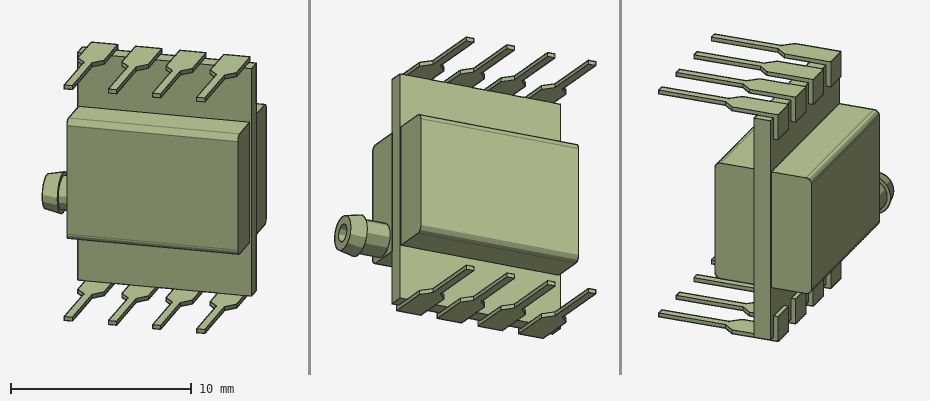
import cadquery as cq


overall_height = 13.8
pin_thickness = 0.23
plate_width = 10.0
plate_height = overall_height - 2 * pin_thickness
plate_back = -2.42
plate_thickness = 1.0

housing_depth = 5.8
housing_height = 7.04
housing_left_inset = 0.05
housing_right_inset = 0.11
housing_fillet = 0.35
housing_left = -plate_width / 2 + housing_left_inset
housing_right = plate_width / 2 - housing_right_inset
housing_width = housing_right - housing_left

nozzle_overhang = 2.4
nozzle_length = nozzle_overhang + housing_left_inset
barb_length = 0.92
barb_radius = 1.17
barb_tip_radius = 0.98
stem_radius = 0.97
bore_radius = 0.5
nozzle_y = -1.15
nozzle_z = -2.44

pins_per_row = 4
pin_pitch = 2.54
pin_width = 1.52
pin_tip_width = 0.47
pin_tip_y = -9.51
clip_thickness = 0.28
clip_height = 1.52
pin_back = plate_back + clip_thickness
shoulder_y = -4.91
neck_y = -5.5


def make_plate():
    plate = cq.Workplane("XY").box(plate_width, plate_thickness, plate_height)
    return plate.translate((0, plate_back - plate_thickness / 2, 0))


def make_housing():
    block = cq.Workplane("XY").box(housing_width, housing_depth, housing_height)
    rounded = block.edges("|X").fillet(housing_fillet)
    return rounded.translate(((housing_left + housing_right) / 2, -housing_depth / 2, 0))


def make_nozzle():
    """Bored stem with a tapered barb, revolved about an axis along X."""
    tip_x = housing_left - nozzle_length
    barb_end_x = tip_x + barb_length
    profile = [
        (tip_x, bore_radius),
        (tip_x, barb_tip_radius),
        (barb_end_x, barb_radius),
        (barb_end_x, stem_radius),
        (housing_left, stem_radius),
        (housing_left, bore_radius),
    ]
    nozzle = cq.Workplane("XY").polyline(profile).close().revolve(360, (0, 0, 0), (1, 0, 0))
    return nozzle.translate((0, nozzle_y, nozzle_z))


def make_top_pin(x):
    """Flat necked blade over the plate edge, with a clip leg behind the plate."""
    half_width = pin_width / 2
    half_tip = pin_tip_width / 2
    outline = [
        (-half_width, pin_back),
        (half_width, pin_back),
        (half_width, shoulder_y),
        (half_tip, neck_y),
        (half_tip, pin_tip_y),
        (-half_tip, pin_tip_y),
        (-half_tip, neck_y),
        (-half_width, shoulder_y),
    ]
    plate_top = cq.Workplane("XY", origin=(x, 0, plate_height / 2))
    blade = plate_top.polyline(outline).close().extrude(pin_thickness)
    leg = cq.Workplane("XY").box(pin_width, clip_thickness, clip_height)
    leg_centre = (x, pin_back - clip_thickness / 2, (overall_height - clip_height) / 2)
    return blade.union(leg.translate(leg_centre))


result = make_plate().union(make_housing()).union(make_nozzle())
for index in range(pins_per_row):
    top_pin = make_top_pin((index - (pins_per_row - 1) / 2) * pin_pitch)
    result = result.union(top_pin).union(top_pin.mirror("XY"))